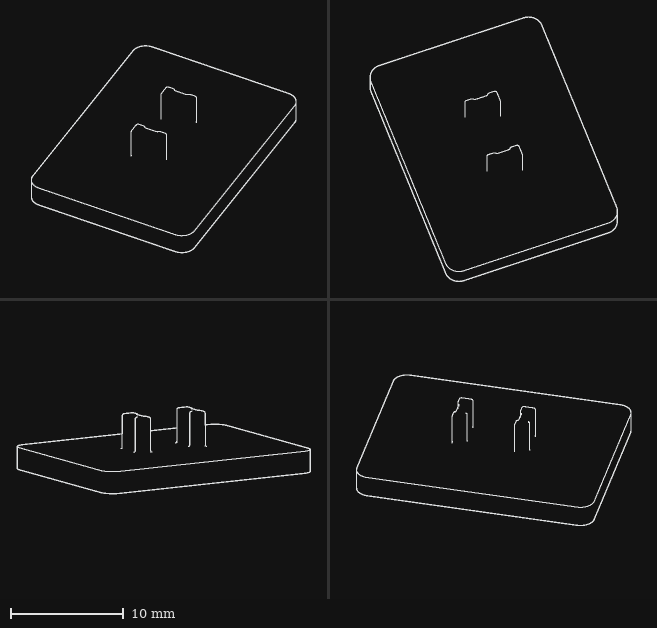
import cadquery as cq
import math

plate_width = 16.15
plate_length = 21.65
plate_thickness = 2.0
plate_corner_radius = 1.25

total_height = 5.2
peg_height = total_height - plate_thickness
peg_width = 3.03
peg_depth = 1.25
peg_spacing = 5.7

recess_floor_width = 1.0
recess_depth = 0.17

corner_radius = 0.2
shoulder_radius = 0.22
rim_radius = 0.2
foot_radius = 0.2

shoulder_angle = math.acos(1 - recess_depth / (2 * shoulder_radius))
shoulder_arc_width = shoulder_radius * math.sin(shoulder_angle)


def make_plate():
    return (
        cq.Workplane("XY")
        .rect(plate_width, plate_length)
        .extrude(plate_thickness)
        .edges("|Z")
        .fillet(plate_corner_radius)
    )


def quarter_outline():
    """Outline of the +X +Y quarter of a peg, closed along both axes."""
    end_x = peg_width / 2
    side_y = peg_depth / 2
    floor_y = side_y - recess_depth
    middle_y = side_y - recess_depth / 2
    floor_x = recess_floor_width / 2
    middle_x = floor_x + shoulder_arc_width
    shoulder_x = middle_x + shoulder_arc_width
    return (
        cq.Workplane("XY", origin=(0, 0, plate_thickness))
        .lineTo(end_x, 0)
        .lineTo(end_x, side_y - corner_radius)
        .radiusArc((end_x - corner_radius, side_y), -corner_radius)
        .lineTo(shoulder_x, side_y)
        .radiusArc((middle_x, middle_y), -shoulder_radius)
        .radiusArc((floor_x, floor_y), shoulder_radius)
        .lineTo(0, floor_y)
        .close()
    )


def make_peg():
    """Peg standing on the plate top at the origin, with a rounded rim."""
    quarter = quarter_outline().extrude(peg_height)
    half = quarter.union(quarter.mirror("YZ"))
    peg = half.union(half.mirror("XZ")).clean()
    return peg.faces(">Z").edges().fillet(rim_radius)


def fillet_feet(body):
    """Blend the pegs into the plate along their outlines on its top face."""
    plate_top = body.faces(cq.selectors.NearestToPointSelector((0, 0, plate_thickness)))
    feet = [edge for wire in plate_top.val().innerWires() for edge in wire.Edges()]
    return body.newObject(feet).fillet(foot_radius)


body = make_plate()
peg = make_peg()
for side in (-1, 1):
    body = body.union(peg.translate((0, side * peg_spacing / 2, 0)))

result = fillet_feet(body)